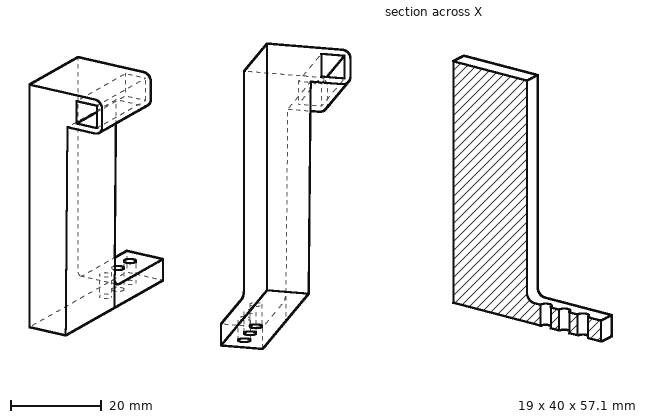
import cadquery as cq

height = 57.15
depth = 40.0
width = 19.0

column_depth = depth / 2
column_base_width = 9.5
column_top_width = 9.95

lip_height = 8.0
lip_corner_radius = 1.9
channel_wall = 1.4
channel_size = lip_height - 2 * channel_wall

foot_thickness = 5.05
foot_fillet_radius = 1.9
hole_diameter = 2.7
hole_pitch = 5.05
hole_x = 4.0
hole_count = 3


def make_column():
    """Tapered column and overhanging lip, with its front face at y = 0."""
    lip_bottom = height - lip_height
    body = (
        cq.Workplane("XZ")
        .moveTo(0, 0)
        .lineTo(column_base_width, 0)
        .lineTo(column_top_width, lip_bottom)
        .lineTo(width, lip_bottom)
        .lineTo(width, height)
        .lineTo(0, height)
        .close()
        .extrude(-column_depth)
    )
    return body.edges("|Y and >X").fillet(lip_corner_radius)


def make_foot():
    """Flat bar running along the bottom, under the column and out behind it."""
    return cq.Workplane("XY").box(column_base_width, depth, foot_thickness, centered=False)


def make_inner_fillet():
    """Concave fillet where the foot meets the back of the column."""
    return (
        cq.Workplane("YZ")
        .moveTo(column_depth, foot_thickness)
        .lineTo(column_depth + foot_fillet_radius, foot_thickness)
        .radiusArc(
            (column_depth, foot_thickness + foot_fillet_radius),
            foot_fillet_radius,
        )
        .close()
        .extrude(column_base_width)
    )


def make_channel():
    """Square channel running the full depth of the lip."""
    channel_x = width - channel_wall - channel_size
    channel_z = height - channel_wall - channel_size
    return (
        cq.Workplane("XY")
        .box(channel_size, column_depth, channel_size, centered=False)
        .translate((channel_x, 0, channel_z))
    )


def make_foot_holes():
    """Row of through holes centred on the exposed length of the foot."""
    row_center = (column_depth + depth) / 2
    first_y = row_center - hole_pitch * (hole_count - 1) / 2
    centers = [(hole_x, first_y + i * hole_pitch) for i in range(hole_count)]
    return cq.Workplane("XY").pushPoints(centers).circle(hole_diameter / 2).extrude(foot_thickness)


result = (
    make_column()
    .union(make_foot())
    .union(make_inner_fillet())
    .cut(make_channel())
    .cut(make_foot_holes())
)